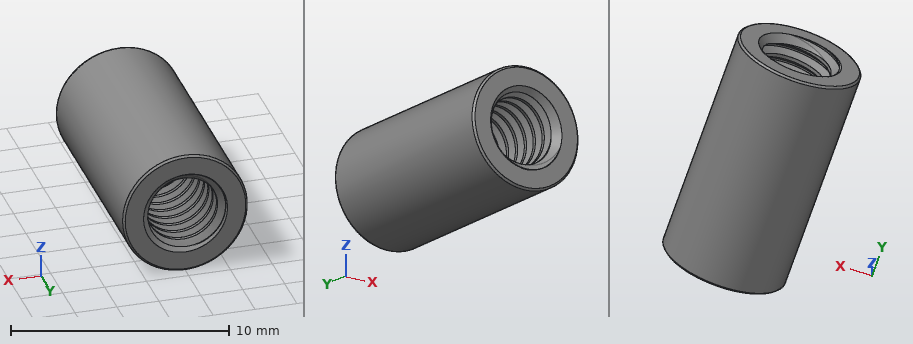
import cadquery as cq

length = 11.0
outer_diameter = 5.95
edge_chamfer = 0.1

bore_diameter = 3.3
root_diameter = 3.99
mouth_diameter = 4.0
pitch = 0.7
thread_start_angle = 37.0
crest_width = pitch / 4
root_width = pitch / 8
overrun = pitch
cutter_overlap = 0.05

bore_radius = bore_diameter / 2
root_radius = root_diameter / 2
mouth_radius = mouth_diameter / 2


def make_sleeve():
    """Chamfered tube with a 45 degree countersink at each end."""
    outer_radius = outer_diameter / 2
    half_length = length / 2
    countersink_depth = mouth_radius - bore_radius
    section = [
        (bore_radius, half_length - countersink_depth),
        (mouth_radius, half_length),
        (outer_radius - edge_chamfer, half_length),
        (outer_radius, half_length - edge_chamfer),
    ]
    mirrored = [(radius, -y) for radius, y in reversed(section)]
    return (
        cq.Workplane("XY")
        .polyline(section + mirrored)
        .close()
        .revolve(360, (0, 0, 0), (0, 1, 0))
    )


def make_thread_cutter():
    """Helical trapezoid that cuts the thread groove through both ends."""
    helix_height = length + 2 * overrun
    helix = cq.Wire.makeHelix(pitch, helix_height, bore_radius)
    half_opening = (pitch - crest_width) / 2
    flank_slope = (half_opening - root_width / 2) / (root_radius - bore_radius)
    inner_radius = bore_radius - cutter_overlap
    half_inner = half_opening + flank_slope * cutter_overlap
    cutter = (
        cq.Workplane("XZ")
        .polyline([
            (inner_radius, -half_inner),
            (root_radius, -root_width / 2),
            (root_radius, root_width / 2),
            (inner_radius, half_inner),
        ])
        .close()
        .sweep(cq.Workplane(obj=helix), isFrenet=True)
    )
    return (
        cutter.translate((0, 0, -helix_height / 2))
        .rotate((0, 0, 0), (0, 0, 1), thread_start_angle)
        .rotate((0, 0, 0), (1, 0, 0), -90)
    )


result = make_sleeve().cut(make_thread_cutter())